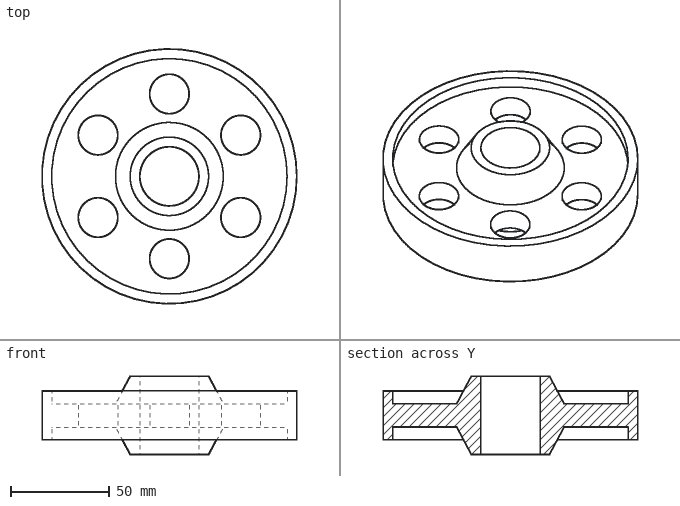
import cadquery as cq

outer_diameter = 130.0
rim_inner_diameter = 120.0
rim_width = 25.0
web_thickness = 12.0

hub_length = 40.0
hub_end_diameter = 40.0
hub_root_diameter = 55.0
bore_diameter = 30.0

hole_count = 6
hole_diameter = 20.0
hole_circle_radius = 42.0
first_hole_angle = 30.0


def make_wheel_body():
    """Revolve the rim, web and tapered hub as one section around the bore."""
    bore_radius = bore_diameter / 2
    hub_end_radius = hub_end_diameter / 2
    hub_root_radius = hub_root_diameter / 2
    rim_inner_radius = rim_inner_diameter / 2
    outer_radius = outer_diameter / 2

    upper_section = [
        (bore_radius, hub_length / 2),
        (hub_end_radius, hub_length / 2),
        (hub_root_radius, web_thickness / 2),
        (rim_inner_radius, web_thickness / 2),
        (rim_inner_radius, rim_width / 2),
        (outer_radius, rim_width / 2),
    ]
    lower_section = [(radius, -z) for radius, z in reversed(upper_section)]
    section = cq.Workplane("XZ").polyline(upper_section + lower_section).close()
    return section.revolve(360, (0, 0, 0), (0, 1, 0))


def make_web_holes():
    """Ring of cylinders that pass through the web."""
    return (
        cq.Workplane("XY", origin=(0, 0, -web_thickness / 2))
        .polarArray(hole_circle_radius, first_hole_angle, 360, hole_count)
        .circle(hole_diameter / 2)
        .extrude(web_thickness)
    )


result = make_wheel_body().cut(make_web_holes())